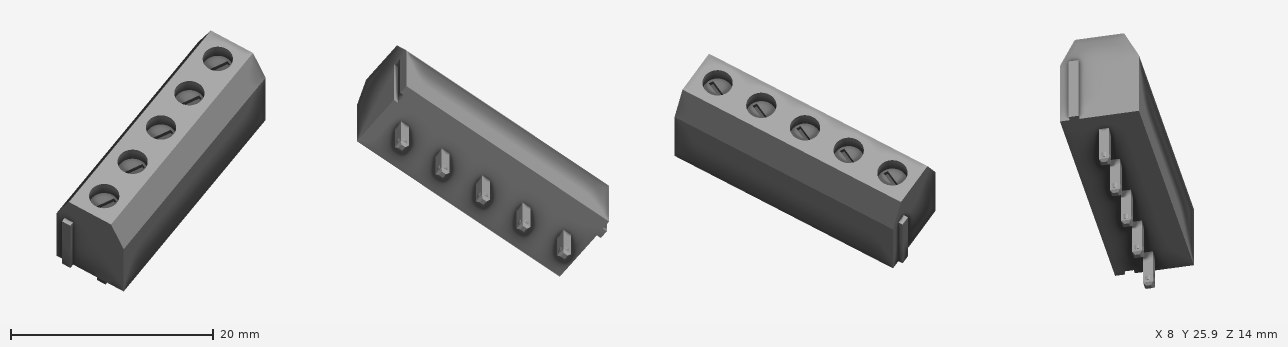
import cadquery as cq
import math

pole_count = 5
pitch = 5.08

width = 8.0
height = 10.0
shoulder_height = 7.0
top_width = 5.0

rib_width = 1.0
rib_depth = 0.5
rib_inset = 1.0
rib_x = -width / 2 + rib_inset + rib_width / 2

screw_diameter = 3.0
screw_depth = 1.5
slot_length = 2.5
slot_width = 0.5
slot_depth = 0.5
slot_angle = math.degrees(math.atan2(2, 1))

pin_width = 1.0
pin_length = 4.0
pin_chamfer = 0.25

collar_diameter = 1.1
collar_height = 0.5
collar_tip_gap = 0.5


def make_housing():
    """Prism with a tapered top, running one pitch along Y."""
    return (
        cq.Workplane("XZ")
        .polyline([
            (-width / 2, 0),
            (width / 2, 0),
            (width / 2, shoulder_height),
            (top_width / 2, height),
            (-top_width / 2, height),
            (-width / 2, shoulder_height),
        ])
        .close()
        .extrude(pitch / 2, both=True)
    )


def make_rib():
    """Rib standing out from the -Y face; moved by one pitch it is also the groove shape."""
    return (
        cq.Workplane("XY")
        .box(rib_width, rib_depth, shoulder_height, centered=(True, False, False))
        .translate((rib_x, -pitch / 2 - rib_depth, 0))
    )


def make_screw_recess():
    """Round recess together with the driver slot below its floor."""
    floor_z = height - screw_depth
    bore = cq.Workplane("XY").workplane(offset=floor_z).circle(screw_diameter / 2).extrude(screw_depth)
    slot = (
        cq.Workplane("XY")
        .box(slot_length, slot_width, slot_depth, centered=(True, True, False))
        .rotate((0, 0, 0), (0, 0, 1), slot_angle)
        .translate((0, 0, floor_z - slot_depth))
    )
    return bore.union(slot)


def make_pin():
    """Square pin with a chamfered tip and a round collar swelling through its sides."""
    pin = (
        cq.Workplane("XY")
        .rect(pin_width, pin_width)
        .extrude(-pin_length)
        .faces("<Z")
        .chamfer(pin_chamfer)
    )
    collar = (
        cq.Workplane("XY")
        .workplane(offset=-pin_length + collar_tip_gap)
        .circle(collar_diameter / 2)
        .extrude(collar_height)
    )
    return pin.union(collar)


def make_module():
    """One complete pole, with its screw axis and pin on the Z axis."""
    rib = make_rib()
    groove = rib.translate((0, pitch, 0))
    return make_housing().union(rib).cut(groove).cut(make_screw_recess()).union(make_pin())


module = make_module()
modules = [module.translate((0, pole * pitch, 0)) for pole in range(pole_count)]

result = cq.Compound.makeCompound([pole_module.val() for pole_module in modules])